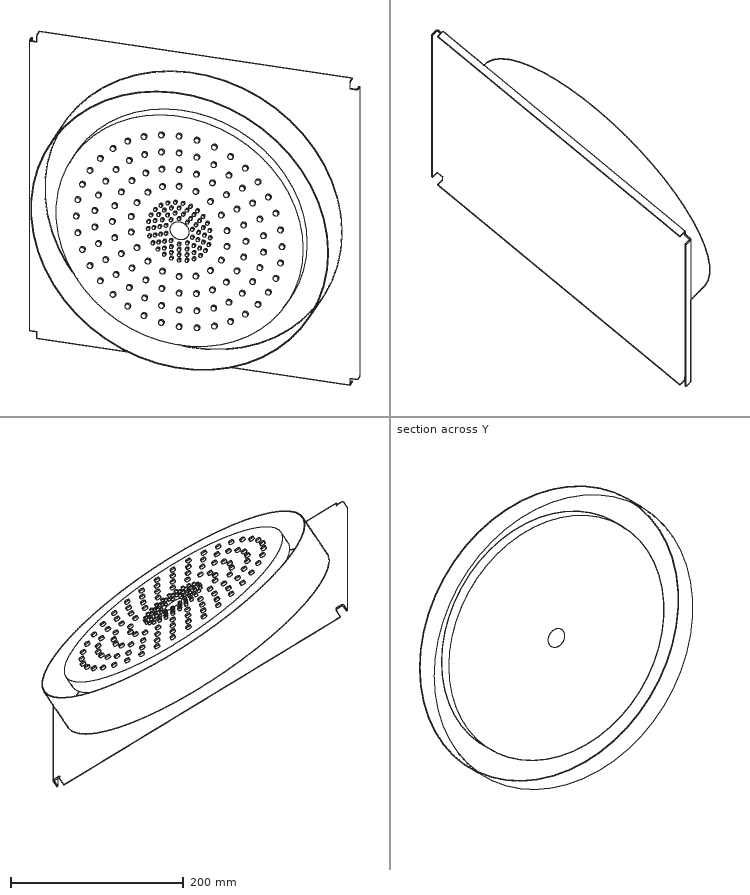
import cadquery as cq
import math

PLATE_SIDE = 400.0
FLANGE_DEPTH = 9.5
SHEET_THICKNESS = 1.5
BEND_OUTER_RADIUS = 2.2
CORNER_NOTCH = 9.5

WALL_RADIUS = 181.0
WALL_THICKNESS = 1.0

TOTAL_DEPTH = 65.0
HEAD_RADIUS = 150.5
HEAD_THICKNESS = 15.0
CAP_RADIUS = 11.5
NOZZLE_HEIGHT = 3.0

HEAD_FACE_Y = FLANGE_DEPTH - TOTAL_DEPTH + NOZZLE_HEIGHT
HEAD_BACK_Y = HEAD_FACE_Y + HEAD_THICKNESS

RING_COUNT = 4
COARSE_NOZZLE_RADIUS = 3.0
COARSE_FIRST_RING_RADIUS = 59.0
COARSE_RING_SPACING = 22.0
COARSE_FIRST_COUNT = 18
COARSE_COUNT_STEP = 6
COARSE_START_ANGLE = 90

FINE_NOZZLE_RADIUS = 2.0
FINE_FIRST_RING_RADIUS = 17.0
FINE_RING_SPACING = 7.0
FINE_FIRST_COUNT = 10
FINE_COUNT_STEP = 5
FINE_START_ANGLE = -90


def disc(radius, back_y, front_y):
    """Cylinder about the Y axis between two Y positions."""
    return cq.Workplane("XZ", origin=(0, back_y, 0)).circle(radius).extrude(back_y - front_y)


def rounded_block(side, front_y, edge_radius):
    """Square block from front_y back to the flange ends, its front edges rounded."""
    block = cq.Workplane("XY").box(side, FLANGE_DEPTH - front_y, side, centered=(True, False, True))
    return block.translate((0, front_y, 0)).faces("<Y").edges().fillet(edge_radius)


def make_plate():
    outside = rounded_block(PLATE_SIDE, 0, BEND_OUTER_RADIUS)
    inside = rounded_block(
        PLATE_SIDE - 2 * SHEET_THICKNESS, SHEET_THICKNESS, BEND_OUTER_RADIUS - SHEET_THICKNESS
    )
    notches = (
        cq.Workplane("XZ")
        .rect(PLATE_SIDE, PLATE_SIDE, forConstruction=True)
        .vertices()
        .rect(2 * CORNER_NOTCH, 2 * CORNER_NOTCH)
        .extrude(-FLANGE_DEPTH)
    )
    return outside.cut(inside).cut(notches)


def make_wall():
    bore = disc(WALL_RADIUS - WALL_THICKNESS, 0, HEAD_FACE_Y)
    return disc(WALL_RADIUS, 0, HEAD_FACE_Y).cut(bore)


def make_cap():
    """Plug that fills the central hole of the head."""
    return disc(CAP_RADIUS, HEAD_BACK_Y, HEAD_FACE_Y)


def ring_points(ring_radius, count, start_angle):
    """Evenly spaced points on a circle."""
    angles = [math.radians(start_angle + 360 * i / count) for i in range(count)]
    return [(ring_radius * math.cos(a), ring_radius * math.sin(a)) for a in angles]


def nozzles(points, radius):
    """Short pegs standing on the face of the head."""
    face = cq.Workplane("XZ", origin=(0, HEAD_FACE_Y, 0))
    return face.pushPoints(points).circle(radius).extrude(NOZZLE_HEIGHT)


def make_head():
    coarse_points = []
    fine_points = []
    for ring in range(RING_COUNT):
        coarse_points += ring_points(
            COARSE_FIRST_RING_RADIUS + ring * COARSE_RING_SPACING,
            COARSE_FIRST_COUNT + ring * COARSE_COUNT_STEP,
            COARSE_START_ANGLE,
        )
        fine_points += ring_points(
            FINE_FIRST_RING_RADIUS + ring * FINE_RING_SPACING,
            FINE_FIRST_COUNT + ring * FINE_COUNT_STEP,
            FINE_START_ANGLE,
        )
    head = disc(HEAD_RADIUS, HEAD_BACK_Y, HEAD_FACE_Y).cut(make_cap())
    head = head.union(nozzles(coarse_points, COARSE_NOZZLE_RADIUS))
    return head.union(nozzles(fine_points, FINE_NOZZLE_RADIUS))


plate = make_plate()
wall = make_wall()
head = make_head()
cap = make_cap()

bodies = [plate, wall, head, cap]
result = cq.Compound.makeCompound([body.solids().val() for body in bodies])